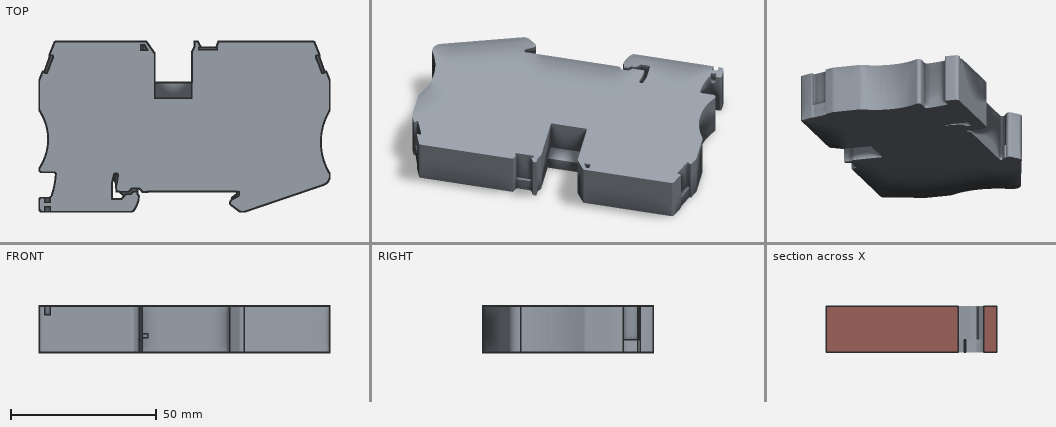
import cadquery as cq

LENGTH = 100.0
HEIGHT = 58.6
THICKNESS = 16.1
BASE_LAYER = 4.5

SHOULDER_RUN = 5.4
SHOULDER_Y = 45.2
SIDE_LOW_Y = 35.0
GRIP_DEPTH = 3.1
GRIP_MID_Y = 24.6
LEFT_GRIP_LOW = (0.2, 15.2)
LEFT_LIP_X = -0.86
RIGHT_GRIP_LOW_Y = 13.0
RIGHT_CORNER_Y = 10.0

GAP_LEFT = 39.8
GAP_RIGHT = 52.5
GAP_FLOOR_Y = 44.5
GAP_DEEP_Y = 39.0

GROOVE_FLOOR_Y = 56.6
GROOVE_DEEP_Y = 55.7
GROOVE_LEFT = 54.9
GROOVE_RIGHT = 61.3
RIDGE_X = 53.4

RAIL_Y = 7.0
FOOT_TOP = 4.9
FOOT_TOP_END = 3.7
WAIST_Y = 13.6
WAIST_X = 5.8
FOOT_TOE_X = 32.2
FOOT_NOSE_X = 34.4
HOOK_NOSE = (65.1, 3.0)
HOOK_TOE_X = 69.1
HOOK_HEEL_X = 70.6
HOOK_LIP_X = 66.2
HOOK_LIP_LOW_Y = 4.2
HOOK_LIP_HIGH_Y = 4.9
HOOK_ROOT_X = 68.0
HOOK_ROOT_LOW_Y = 6.2

SPRING_SLOT_LEFT = 25.1
SPRING_SLOT_RIGHT = 26.6
SPRING_SLOT_FLOOR_Y = 4.5
SPRING_SLOT_ROUND_Y = 12.5
SPRING_SLOT_TOP = (26.5, 13.3)
NECK_FLOOR_Y = 6.1
NECK_TOP_Y = 8.2
MOUTH_X = 33.9

SLOT_LEFT = 2.0
SLOT_WIDTH = 1.9
SLOT_DEPTH = 3.1
LOWER_SLOT_TOP = 1.8
UPPER_SLOT_BOTTOM = 3.4

MARKER_LEFT = 35.0
MARKER_LEDGE = 0.6
MARKER_TOP_RIGHT = 36.2
MARKER_BOTTOM_RIGHT = 37.3
MARKER_BOTTOM = 55.6
MARKER_TOP = 57.5
MARKER_DEPTH = 3.0
MARKER_LEDGE_DEPTH = 1.5

STOP_X = 35.5
STOP_LENGTH = 1.8
STOP_HEIGHT = 0.2
STOP_Z = 5.1
STOP_THICKNESS = 1.4

SHOULDER_TOP_RADIUS = 0.8
SHOULDER_LOW_RADIUS = 3.0
GRIP_TOP_RADIUS = 2.0
FOOT_TOP_RADIUS = 0.7
FOOT_HEEL_RADIUS = 1.2
TOE_RADIUS = 1.5
NOSE_RADIUS = 1.0
RIGHT_CORNER_RADIUS = 3.4


def prism(points, bottom, top):
    """Straight prism over a closed polygon, from Z = bottom to Z = top."""
    return cq.Workplane("XY").workplane(offset=bottom).polyline(points).close().extrude(top - bottom)


def rectangle(left, bottom, right, top):
    return [(left, bottom), (right, bottom), (right, top), (left, top)]


def mirror_x(points):
    return [(LENGTH - x, y) for x, y in points]


def round_corners(body, corners, radius):
    """Fillet the Z-parallel edges that stand at the given corners."""
    for x, y in corners:
        edge = cq.selectors.NearestToPointSelector((x, y, THICKNESS / 2))
        body = body.edges("|Z").edges(edge).fillet(radius)
    return body


def make_block():
    outline = (
        cq.Workplane("XY")
        .moveTo(0, SHOULDER_Y)
        .lineTo(SHOULDER_RUN, HEIGHT)
        .lineTo(36.9, HEIGHT)
        .lineTo(GAP_LEFT, 54.5)
        .lineTo(GAP_LEFT, GAP_FLOOR_Y)
        .lineTo(GAP_RIGHT, GAP_FLOOR_Y)
        .lineTo(GAP_RIGHT, 54.9)
        .lineTo(RIDGE_X, 56.7)
        .lineTo(RIDGE_X, HEIGHT)
        .lineTo(54.6, HEIGHT)
        .lineTo(55.7, GROOVE_FLOOR_Y)
        .lineTo(60.9, GROOVE_FLOOR_Y)
        .lineTo(61.6, HEIGHT)
        .lineTo(LENGTH - SHOULDER_RUN, HEIGHT)
        .lineTo(LENGTH, SHOULDER_Y)
        .lineTo(LENGTH, SIDE_LOW_Y)
        .threePointArc((LENGTH - GRIP_DEPTH, GRIP_MID_Y), (LENGTH, RIGHT_GRIP_LOW_Y))
        .lineTo(LENGTH, RIGHT_CORNER_Y)
        .lineTo(HOOK_HEEL_X, 0)
        .lineTo(HOOK_TOE_X, 0)
        .lineTo(*HOOK_NOSE)
        .lineTo(HOOK_LIP_X, HOOK_LIP_LOW_Y)
        .lineTo(HOOK_LIP_X, HOOK_LIP_HIGH_Y)
        .lineTo(HOOK_ROOT_X, HOOK_ROOT_LOW_Y)
        .lineTo(HOOK_ROOT_X, RAIL_Y)
        .lineTo(35.4, RAIL_Y)
        .lineTo(34.5, 8.0)
        .lineTo(MOUTH_X, 8.0)
        .lineTo(MOUTH_X, NECK_FLOOR_Y)
        .lineTo(FOOT_NOSE_X, 5.4)
        .threePointArc((33.6, 2.2), (FOOT_TOE_X, 0))
        .lineTo(0, 0)
        .lineTo(0, FOOT_TOP)
        .lineTo(FOOT_TOP_END, FOOT_TOP)
        .lineTo(4.3, 5.5)
        .threePointArc((5.2, 8.9), (WAIST_X, WAIST_Y))
        .lineTo(LEFT_LIP_X, WAIST_Y)
        .lineTo(*LEFT_GRIP_LOW)
        .threePointArc((GRIP_DEPTH, GRIP_MID_Y), (0, SIDE_LOW_Y))
        .close()
    )
    body = outline.extrude(THICKNESS)
    body = round_corners(body, [(SHOULDER_RUN, HEIGHT), (LENGTH - SHOULDER_RUN, HEIGHT)], SHOULDER_TOP_RADIUS)
    body = round_corners(body, [(0, SHOULDER_Y), (LENGTH, SHOULDER_Y)], SHOULDER_LOW_RADIUS)
    body = round_corners(body, [(0, SIDE_LOW_Y), (LENGTH, SIDE_LOW_Y)], GRIP_TOP_RADIUS)
    body = round_corners(body, [(0, FOOT_TOP), (WAIST_X, WAIST_Y)], FOOT_TOP_RADIUS)
    body = round_corners(body, [(0, 0)], FOOT_HEEL_RADIUS)
    body = round_corners(body, [(FOOT_TOE_X, 0), (HOOK_TOE_X, 0)], TOE_RADIUS)
    body = round_corners(body, [HOOK_NOSE, (LEFT_LIP_X, WAIST_Y)], NOSE_RADIUS)
    body = round_corners(body, [(LENGTH, RIGHT_CORNER_Y)], RIGHT_CORNER_RADIUS)
    return body


def cut_side_recesses(body):
    """Shallow recess through each shoulder, with a deeper slot above the base layer."""
    shallow = [(3.0, 54.1), (3.6, 54.1), (3.6, 53.3), (1.8, 48.1), (0.8, 48.6)]
    deep = [(3.0, 53.8), (4.7, 53.8), (4.9, 53.2), (2.7, 47.7), (2.2, 47.7), (1.5, 48.5)]
    for points, bottom in ((shallow, 0), (deep, BASE_LAYER)):
        for placed in (points, mirror_x(points)):
            body = body.cut(prism(placed, bottom, THICKNESS))
    return body


def cut_top_edge(body):
    gap = rectangle(GAP_LEFT, GAP_DEEP_Y, GAP_RIGHT, GAP_FLOOR_Y)
    groove = rectangle(GROOVE_LEFT, GROOVE_DEEP_Y, GROOVE_RIGHT, GROOVE_FLOOR_Y)
    for pocket in (gap, groove):
        body = body.cut(prism(pocket, BASE_LAYER, THICKNESS))
    return body


def cut_marker(body):
    step = MARKER_LEFT + MARKER_LEDGE
    ledge = rectangle(MARKER_LEFT, MARKER_BOTTOM, step, MARKER_TOP)
    wedge = [
        (step, MARKER_BOTTOM),
        (MARKER_BOTTOM_RIGHT, MARKER_BOTTOM),
        (MARKER_TOP_RIGHT, MARKER_TOP),
        (step, MARKER_TOP),
    ]
    body = body.cut(prism(ledge, THICKNESS - MARKER_LEDGE_DEPTH, THICKNESS))
    return body.cut(prism(wedge, THICKNESS - MARKER_DEPTH, THICKNESS))


def cut_spring_slot(body):
    """Slot that frees the foot; the base layer bridges part of it."""
    left_wall = [
        (SPRING_SLOT_LEFT, SPRING_SLOT_FLOOR_Y),
        (SPRING_SLOT_LEFT, 9.9),
        (25.7, SPRING_SLOT_ROUND_Y),
    ]
    open_part = (
        cq.Workplane("XY")
        .polyline(left_wall)
        .threePointArc((26.0, 13.1), SPRING_SLOT_TOP)
        .lineTo(26.2, 12.0)
        .lineTo(25.9, 10.9)
        .lineTo(26.3, 9.9)
        .lineTo(SPRING_SLOT_RIGHT, RAIL_Y)
        .lineTo(27.5, RAIL_Y)
        .lineTo(29.2, 5.5)
        .lineTo(28.4, SPRING_SLOT_FLOOR_Y)
        .close()
        .extrude(THICKNESS)
    )
    upper_part = (
        cq.Workplane("XY")
        .workplane(offset=BASE_LAYER)
        .polyline(left_wall)
        .threePointArc(SPRING_SLOT_TOP, (27.2, SPRING_SLOT_ROUND_Y))
        .lineTo(SPRING_SLOT_RIGHT, 9.0)
        .lineTo(SPRING_SLOT_RIGHT, RAIL_Y)
        .lineTo(30.8, RAIL_Y)
        .lineTo(32.0, NECK_TOP_Y)
        .lineTo(FOOT_NOSE_X, NECK_TOP_Y)
        .lineTo(FOOT_NOSE_X, RAIL_Y)
        .lineTo(32.4, RAIL_Y)
        .lineTo(31.6, NECK_FLOOR_Y)
        .lineTo(29.9, NECK_FLOOR_Y)
        .lineTo(28.4, SPRING_SLOT_FLOOR_Y)
        .close()
        .extrude(THICKNESS - BASE_LAYER)
    )
    return body.cut(open_part).cut(upper_part)


def cut_hook_groove(body):
    """Deepens the undercut of the hook above the base layer."""
    groove = [
        (HOOK_ROOT_X, RAIL_Y),
        (68.7, RAIL_Y),
        (68.9, 6.2),
        (68.6, 5.5),
        (HOOK_LIP_X, HOOK_LIP_LOW_Y),
        (HOOK_LIP_X, HOOK_LIP_HIGH_Y),
        (HOOK_ROOT_X, HOOK_ROOT_LOW_Y),
    ]
    return body.cut(prism(groove, BASE_LAYER, THICKNESS))


def cut_foot_slots(body):
    """Flat slot in the underside of the foot and a round-bottomed one in its upper face."""
    right = SLOT_LEFT + SLOT_WIDTH
    radius = SLOT_WIDTH / 2
    lower = rectangle(SLOT_LEFT, 0, right, LOWER_SLOT_TOP)
    upper = rectangle(SLOT_LEFT, UPPER_SLOT_BOTTOM, right, FOOT_TOP)
    body = body.cut(prism(lower, THICKNESS - SLOT_DEPTH, THICKNESS))
    floor_centre_z = THICKNESS - SLOT_DEPTH + radius
    round_floor = (
        cq.Workplane("XZ", origin=(SLOT_LEFT + radius, FOOT_TOP, floor_centre_z))
        .circle(radius)
        .extrude(FOOT_TOP - UPPER_SLOT_BOTTOM)
    )
    return body.cut(prism(upper, floor_centre_z, THICKNESS)).cut(round_floor)


def add_stop(body):
    stop = rectangle(STOP_X, RAIL_Y - STOP_HEIGHT, STOP_X + STOP_LENGTH, RAIL_Y)
    return body.union(prism(stop, STOP_Z, STOP_Z + STOP_THICKNESS))


result = make_block()
result = cut_side_recesses(result)
result = cut_top_edge(result)
result = cut_marker(result)
result = cut_spring_slot(result)
result = cut_hook_groove(result)
result = cut_foot_slots(result)
result = add_stop(result)